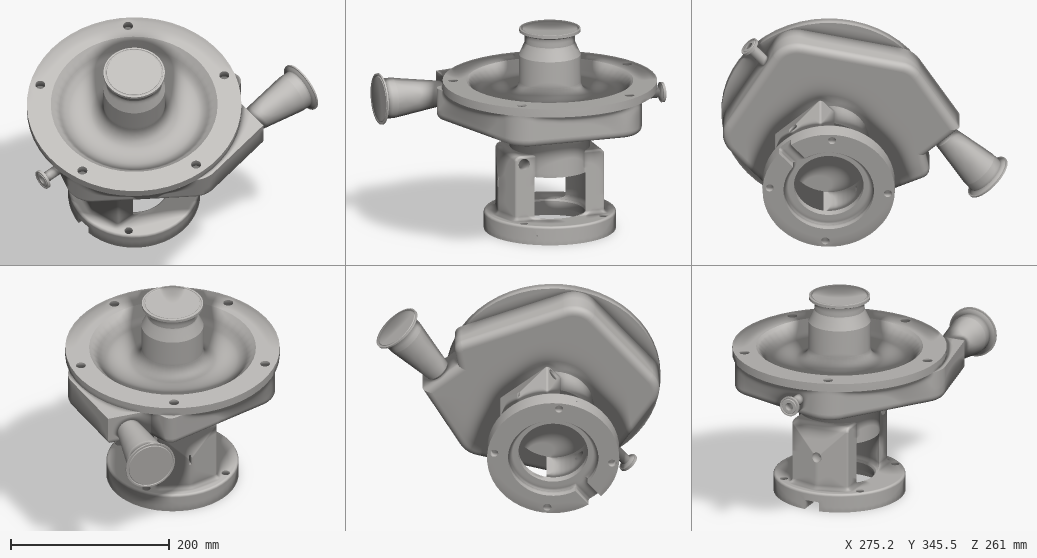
import cadquery as cq
import math

base_height = 24.2
leg_top = 107.8
housing_bottom = 79.0
housing_top = 120.2
casing_bottom = 140.5
casing_top = 182.0
flange_top = 192.8
bowl_floor = 177.0
suction_shoulder = 227.0
suction_neck_bottom = 243.2
suction_end = 261.0

base_radius = 83.3
base_edge_radius = 3.0
base_bore_radius = 44.0
base_bore_chamfer = 2.0
spigot_radius = 57.0
spigot_depth = 12.5
spigot_round = 2.8
notch_round = 2.8
notch_width = 20.0
base_bolt_count = 4
base_bolt_circle = 74.5
base_bolt_diameter = 10.5
base_bolt_angle = 45
pin_diameter = 2.0
pin_depth = 7.0
pin_angle = 150
pin_height = 11.7

leg_half_width = 39.0
leg_ridge = 69.5
leg_slope = math.radians(15)
leg_ridge_round = 10.7
leg_edge_round = 3.0
leg_top_round = 8.3
leg_foot_round = 5.0
leg_inner_radius = 51.8
leg_cut_height = 66.0
ridge_hole_diameter = 13.0
vent_slot_width = 3.0
cross_hole_diameter = 15.0
cross_hole_y = 47.7
cross_hole_z = 97.0

housing_radius = 50.8
neck_radius = 41.8
neck_flare = 10.5

casing_sides = 5
casing_apothem = 114.7
casing_corner_round = 34.2
casing_bottom_round = 9.5
tongue_corner = (50.0, 136.8)
tongue_foot_x = 65.5
tongue_round = 12.0
outlet_face_y = 109.2
outlet_corner_x = 123.0
outlet_wall_slope = math.radians(10)

flange_radius = 135.0
flange_bolt_count = 5
flange_bolt_circle = 122.0
flange_bolt_diameter = 12.5
bowl_radius = 105.0
bowl_cone_depth = 11.5

suction_radius = 39.0
suction_neck_radius = 31.8
suction_clamp_radius = 38.7
suction_clamp_rim = 3.5
suction_clamp_height = 6.5
suction_groove_radius = 35.5
hub_fillet = 15.0

outlet_x = 95.7
outlet_z = 160.3
outlet_end = 194.5
outlet_radius = 25.5
outlet_cone_top = 176.5
outlet_root_radius = 16.0
outlet_root_height = 3.5
outlet_weld_radius = 13.0
outlet_clamp_radius = 32.5
outlet_clamp_rim = 2.0
outlet_clamp_height = 5.2
outlet_groove_radius = 29.5

drain_z = 163.0
drain_end = 151.0
drain_root = 103.5
drain_radius = 6.5
drain_clamp_radius = 12.8
drain_clamp_rim = 3.5
drain_clamp_height = 6.2
drain_groove_radius = 10.0
drain_bore_radius = 5.2
drain_bore_depth = 27.5

groove_half_width = 1.0
clamp_lip_share = 0.3

foot_pick_margin = 0.5


def cylinder(radius, bottom, top):
    return cq.Workplane("XY").workplane(offset=bottom).circle(radius).extrude(top - bottom)


def hole_ring(count, circle_radius, diameter, first_angle, bottom, top):
    return (
        cq.Workplane("XY")
        .workplane(offset=bottom)
        .polarArray(circle_radius, first_angle, 360, count)
        .circle(diameter / 2)
        .extrude(top - bottom)
    )


def clamp_pipe(pipe_profile, neck_radius, clamp_radius, rim, height, end, groove_radius):
    """Revolve a pipe about Z and finish it with a clamp ferrule that has a gasket groove.

    pipe_profile lists the (radius, height) points from the pipe root up to the neck.
    """
    underside_radius = clamp_radius - clamp_lip_share * (clamp_radius - neck_radius)
    return (
        cq.Workplane("XZ")
        .moveTo(0, pipe_profile[0][1])
        .polyline(pipe_profile, includeCurrent=True)
        .lineTo(neck_radius, end - height)
        .lineTo(underside_radius, end - rim)
        .lineTo(clamp_radius, end - rim)
        .lineTo(clamp_radius, end)
        .lineTo(groove_radius + groove_half_width, end)
        .threePointArc((groove_radius, end - groove_half_width), (groove_radius - groove_half_width, end))
        .lineTo(0, end)
        .close()
        .revolve(360, (0, 0, 0), (0, 1, 0))
    )


def make_base():
    """Round base with a spigot recess below, a notch at -Y and a small radial pin hole."""
    base = cylinder(base_radius, 0, base_height).faces(">Z").edges().fillet(base_edge_radius)
    recess = cylinder(spigot_radius, 0, spigot_depth).faces(">Z").edges().fillet(spigot_round)
    notch = (
        cq.Workplane("XY")
        .center(0, -base_radius / 2)
        .rect(notch_width, base_radius)
        .extrude(spigot_depth)
        .edges("|Y and >Z")
        .fillet(notch_round)
    )
    pin = (
        cq.Workplane("YZ")
        .workplane(offset=base_radius - pin_depth)
        .center(0, pin_height)
        .circle(pin_diameter / 2)
        .extrude(2 * pin_depth)
        .rotate((0, 0, 0), (0, 0, 1), pin_angle)
    )
    return base.cut(recess).cut(notch).cut(pin)


def make_leg():
    """Leg on the -Y side: ridged outer face that slopes back to a rounded crest."""
    flank_y = -leg_ridge + leg_half_width * math.tan(leg_slope)
    leg = (
        cq.Workplane("XY")
        .workplane(offset=base_height)
        .polyline([(-leg_half_width, 0), (-leg_half_width, flank_y), (0, -leg_ridge),
                   (leg_half_width, flank_y), (leg_half_width, 0)])
        .close()
        .extrude(leg_top - base_height)
    )
    leg = leg.edges("|Z and <Y").fillet(leg_ridge_round)
    leg = leg.faces(">X or <X").edges("|Z and <Y").fillet(leg_edge_round)

    slope_run = (leg_top - leg_cut_height) * math.tan(leg_slope)
    slope_cut = (
        cq.Workplane("YZ")
        .polyline([(-leg_ridge, leg_cut_height), (-leg_ridge + slope_run, leg_top), (-leg_ridge, leg_top)])
        .close()
        .extrude(leg_half_width, both=True)
    )
    leg = leg.cut(slope_cut)
    crest = cq.NearestToPointSelector((0, -leg_ridge + slope_run, leg_top))
    leg = leg.edges(crest).fillet(leg_top_round)
    return leg.faces(">Z").edges("|Y").fillet(leg_edge_round)


def make_legs():
    front = make_leg()
    return front.union(front.mirror("XZ"))


def make_casing():
    """Five-sided casing with rounded corners, opened out at +X +Y into the discharge block."""
    half_side = math.pi / casing_sides
    corner_distance = casing_apothem / math.cos(half_side)
    corners = [
        (corner_distance * math.cos(2 * i * half_side), corner_distance * math.sin(2 * i * half_side))
        for i in (2, 3, 4)
    ]
    side = -half_side
    wall_offset = outlet_corner_x * math.cos(outlet_wall_slope) + outlet_face_y * math.sin(outlet_wall_slope)
    spread = math.sin(outlet_wall_slope - side)
    wall_corner = (
        (casing_apothem * math.sin(outlet_wall_slope) - wall_offset * math.sin(side)) / spread,
        (wall_offset * math.cos(side) - casing_apothem * math.cos(outlet_wall_slope)) / spread,
    )
    corners.append(wall_corner)
    outline = corners + [(outlet_corner_x, outlet_face_y), (tongue_foot_x, outlet_face_y), tongue_corner]
    casing = (
        cq.Workplane("XY")
        .workplane(offset=casing_bottom)
        .polyline(outline)
        .close()
        .extrude(casing_top - casing_bottom)
    )
    middle = (casing_bottom + casing_top) / 2
    for x, y in corners:
        casing = casing.edges(cq.NearestToPointSelector((x, y, middle))).fillet(casing_corner_round)
    casing = casing.edges(cq.NearestToPointSelector((*tongue_corner, middle))).fillet(tongue_round)
    return casing.faces("<Z").edges().fillet(casing_bottom_round)


def make_neck():
    """Bearing housing and the neck that flares into the casing underside."""
    flare_shift = neck_flare * math.sqrt(0.5)
    flare_center = (neck_radius + neck_flare, casing_bottom - neck_flare)
    return (
        cq.Workplane("XZ")
        .moveTo(0, housing_bottom)
        .lineTo(housing_radius, housing_bottom)
        .lineTo(housing_radius, housing_top)
        .lineTo(neck_radius, housing_top)
        .lineTo(neck_radius, flare_center[1])
        .threePointArc((flare_center[0] - flare_shift, flare_center[1] + flare_shift),
                       (flare_center[0], casing_bottom))
        .lineTo(0, casing_bottom)
        .close()
        .revolve(360, (0, 0, 0), (0, 1, 0))
    )


def make_bowl():
    """Annular hollow in the cover: conical wall, rounded floor edge and a fillet up to the hub."""
    cone_angle = math.radians(45)
    cone_bottom_radius = bowl_radius - bowl_cone_depth
    cone_bottom = flange_top - bowl_cone_depth
    floor_round = (cone_bottom - bowl_floor) / (1 - math.cos(cone_angle))
    floor_edge = cone_bottom_radius - floor_round * math.sin(cone_angle)
    arc_mid = cone_angle / 2
    hub_center = (suction_radius + hub_fillet, bowl_floor + hub_fillet)
    hub_shift = hub_fillet * math.sqrt(0.5)
    return (
        cq.Workplane("XZ")
        .moveTo(suction_radius, flange_top)
        .lineTo(bowl_radius, flange_top)
        .lineTo(cone_bottom_radius, cone_bottom)
        .threePointArc((floor_edge + floor_round * math.sin(arc_mid),
                        bowl_floor + floor_round * (1 - math.cos(arc_mid))),
                       (floor_edge, bowl_floor))
        .lineTo(hub_center[0], bowl_floor)
        .threePointArc((hub_center[0] - hub_shift, hub_center[1] - hub_shift),
                       (suction_radius, hub_center[1]))
        .close()
        .revolve(360, (0, 0, 0), (0, 1, 0))
    )


def make_suction():
    profile = [(suction_radius, bowl_floor), (suction_radius, suction_shoulder),
               (suction_neck_radius, suction_neck_bottom)]
    return clamp_pipe(profile, suction_neck_radius, suction_clamp_radius, suction_clamp_rim,
                      suction_clamp_height, suction_end, suction_groove_radius)


def make_outlet():
    profile = [(outlet_weld_radius, outlet_face_y),
               (outlet_root_radius, outlet_face_y + outlet_root_height),
               (outlet_radius, outlet_cone_top)]
    pipe = clamp_pipe(profile, outlet_radius, outlet_clamp_radius, outlet_clamp_rim,
                      outlet_clamp_height, outlet_end, outlet_groove_radius)
    return pipe.rotate((0, 0, 0), (1, 0, 0), -90).translate((outlet_x, 0, outlet_z))


def make_drain():
    pipe = clamp_pipe([(drain_radius, drain_root)], drain_radius, drain_clamp_radius, drain_clamp_rim,
                      drain_clamp_height, drain_end, drain_groove_radius)
    pipe = pipe.cut(cylinder(drain_bore_radius, drain_end - drain_bore_depth, drain_end))
    return pipe.rotate((0, 0, 0), (1, 0, 0), 90).translate((0, 0, drain_z))


def make_pedestal():
    """Base and legs, cleared by a cylinder between the legs and rounded at the foot."""
    pedestal = make_base().union(make_legs())
    pedestal = pedestal.cut(cylinder(leg_inner_radius, base_height, housing_bottom))
    x_reach = leg_half_width + foot_pick_margin
    y_reach = leg_ridge + foot_pick_margin
    foot = cq.selectors.BoxSelector((-x_reach, -y_reach, base_height - foot_pick_margin),
                                    (x_reach, y_reach, base_height + foot_pick_margin))
    pedestal = pedestal.edges(foot).fillet(leg_foot_round)

    bore = cylinder(base_bore_radius, 0, base_height)
    chamfer = cq.Solid.makeCone(base_bore_radius, base_bore_radius + base_bore_chamfer, base_bore_chamfer,
                                cq.Vector(0, 0, base_height - base_bore_chamfer))
    bolts = hole_ring(base_bolt_count, base_bolt_circle, base_bolt_diameter, base_bolt_angle, 0, base_height)
    return pedestal.cut(bore).cut(cq.Workplane(chamfer)).cut(bolts)


def make_leg_openings():
    """Round hole in the -Y leg, narrow slot in the +Y leg and a cross hole along X in the +Y leg."""
    ridge_hole = (
        cq.Workplane("XZ")
        .center(0, leg_cut_height)
        .circle(ridge_hole_diameter / 2)
        .extrude(leg_ridge)
    )
    vent_slot = (
        cq.Workplane("XZ")
        .center(0, leg_cut_height)
        .rect(vent_slot_width, ridge_hole_diameter)
        .extrude(-leg_ridge)
    )
    cross_hole = (
        cq.Workplane("YZ")
        .center(cross_hole_y, cross_hole_z)
        .circle(cross_hole_diameter / 2)
        .extrude(leg_half_width, both=True)
    )
    return ridge_hole.union(vent_slot).union(cross_hole)


result = make_pedestal().union(make_neck()).cut(make_leg_openings())

result = result.union(make_casing()).union(cylinder(flange_radius, casing_top, flange_top))
result = result.cut(make_bowl())
result = result.cut(
    hole_ring(flange_bolt_count, flange_bolt_circle, flange_bolt_diameter, 0, casing_top, flange_top)
)

result = result.union(make_suction()).union(make_outlet()).union(make_drain())